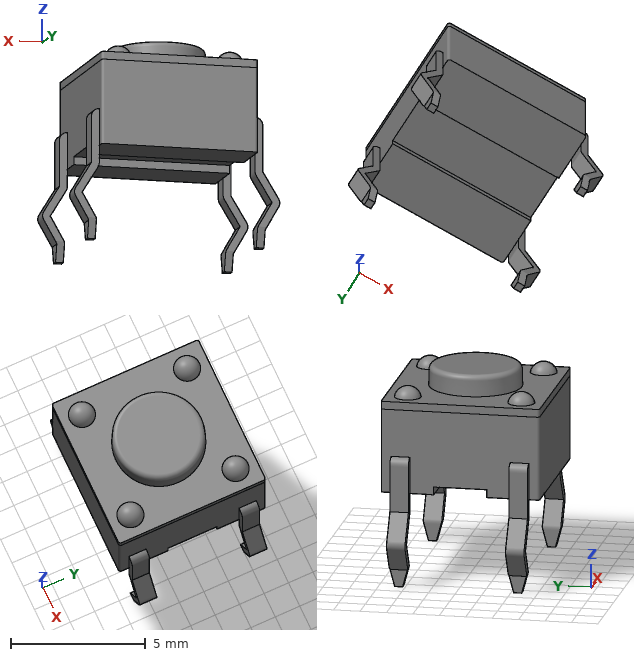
import cadquery as cq
import math


body_side = 6.0
corner_radius = 0.1
case_height = 3.2
cover_thickness = 0.3
notch_width = 2.0
notch_depth = 0.3

button_diameter = 3.5
button_height = 0.8
button_taper = 0.02
button_edge_radius = 0.2

dome_diameter = 1.0
dome_height = 0.4
dome_pitch = 4.3

lead_thickness = 0.3
lead_width = 0.7
lead_pitch = 4.5
lead_top = 1.4
lead_reach = 3.95
shoulder_bend_z = -0.655
knee_bend_z = -1.8
foot_bend_z = -2.845
foot_outer_x = 3.4
taper_start_z = -2.75
tip_z = -3.5
tip_width = 0.3

half_side = body_side / 2
cover_top = case_height + cover_thickness
shoulder_x = half_side + lead_thickness
knee_x = lead_reach - lead_thickness


def make_square_block(base_z, height):
    """Square block with rounded vertical edges."""
    return (
        cq.Workplane("XY", origin=(0, 0, base_z))
        .rect(body_side, body_side)
        .extrude(height)
        .edges("|Z")
        .fillet(corner_radius)
    )


def make_case():
    """Case with a notch running through its underside along X."""
    notch = cq.Workplane("XY").rect(body_side, notch_width).extrude(notch_depth)
    return make_square_block(0, case_height).cut(notch)


def make_dome():
    """Spherical cap standing on the cover."""
    base_radius = dome_diameter / 2
    sphere_radius = (base_radius**2 + dome_height**2) / (2 * dome_height)
    return (
        cq.Workplane("XZ", origin=(0, 0, cover_top))
        .lineTo(base_radius, 0)
        .radiusArc((0, dome_height), -sphere_radius)
        .close()
        .revolve(360, (0, 0, 0), (0, 1, 0))
    )


def make_cover():
    """Cover plate with a rivet dome near each corner."""
    cover = make_square_block(case_height, cover_thickness)
    dome = make_dome()
    for x in (-dome_pitch / 2, dome_pitch / 2):
        for y in (-dome_pitch / 2, dome_pitch / 2):
            cover = cover.union(dome.translate((x, y, 0)))
    return cover


def make_button():
    """Slightly tapered round button with a rounded top edge, standing on the cover."""
    return (
        cq.Workplane("XY", origin=(0, 0, cover_top))
        .circle(button_diameter / 2)
        .workplane(offset=button_height)
        .circle(button_diameter / 2 - button_taper)
        .loft()
        .faces(">Z")
        .edges()
        .fillet(button_edge_radius)
    )


def strip_slope(run, drop):
    """Angle from vertical of a strip whose one face joins two bend pivots on opposite faces."""
    return math.atan2(run, drop) + math.asin(lead_thickness / math.hypot(run, drop))


def around(pivot_x, pivot_z, angle):
    """Point one strip thickness from a bend pivot, at an angle above +X."""
    return (
        pivot_x + lead_thickness * math.cos(angle),
        pivot_z + lead_thickness * math.sin(angle),
    )


def make_lead():
    """Lead on the +X side, centred on Y = 0."""
    upper_slope = strip_slope(knee_x - shoulder_x, shoulder_bend_z - knee_bend_z)
    lower_slope = strip_slope(knee_x - foot_outer_x, knee_bend_z - foot_bend_z)
    top_pivot_z = lead_top - lead_thickness
    strip = (
        cq.Workplane("XZ")
        .moveTo(half_side, lead_top)
        .threePointArc(around(half_side, top_pivot_z, math.pi / 4), (shoulder_x, top_pivot_z))
        .lineTo(shoulder_x, shoulder_bend_z)
        .lineTo(*around(knee_x, knee_bend_z, upper_slope))
        .threePointArc((lead_reach, knee_bend_z), around(knee_x, knee_bend_z, -lower_slope))
        .lineTo(foot_outer_x, foot_bend_z)
        .lineTo(foot_outer_x, tip_z)
        .lineTo(foot_outer_x - lead_thickness, tip_z)
        .lineTo(foot_outer_x - lead_thickness, foot_bend_z)
        .threePointArc(
            around(foot_outer_x, foot_bend_z, math.pi - lower_slope / 2),
            around(foot_outer_x, foot_bend_z, math.pi - lower_slope),
        )
        .lineTo(knee_x, knee_bend_z)
        .lineTo(*around(shoulder_x, shoulder_bend_z, math.pi + upper_slope))
        .threePointArc(
            around(shoulder_x, shoulder_bend_z, math.pi + upper_slope / 2),
            (half_side, shoulder_bend_z),
        )
        .close()
        .extrude(lead_width / 2, both=True)
    )
    tapered_outline = (
        cq.Workplane("YZ")
        .moveTo(-lead_width / 2, lead_top)
        .lineTo(-lead_width / 2, taper_start_z)
        .lineTo(-tip_width / 2, tip_z)
        .lineTo(tip_width / 2, tip_z)
        .lineTo(lead_width / 2, taper_start_z)
        .lineTo(lead_width / 2, lead_top)
        .close()
        .extrude(lead_reach)
    )
    return strip.intersect(tapered_outline)


def make_leads():
    """Two leads on each of the +X and -X sides, each touching the case wall."""
    leads = []
    for side_angle in (0, 180):
        lead = make_lead().rotate((0, 0, 0), (0, 0, 1), side_angle)
        for y in (-lead_pitch / 2, lead_pitch / 2):
            leads.append(lead.translate((0, y, 0)))
    return leads


case = make_case()
cover = make_cover()
button = make_button()
leads = make_leads()

result = cq.Compound.makeCompound(
    [case.val(), cover.val(), button.val(), *[lead.val() for lead in leads]]
)